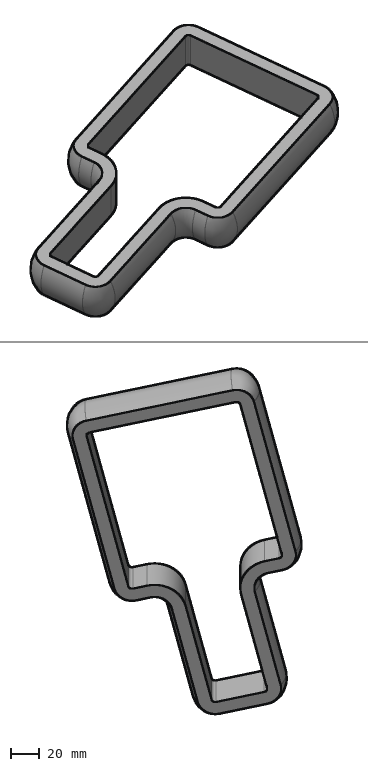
import cadquery as cq

total_length = 259.4
total_width = 137.7
height = 30.0
wall = 9.9
body_opening_width = 110.0
neck_opening_width = 39.7
shoulder_y = -13.5
corner_radius = 2.5
shoulder_radius = 22.3

bulge = (total_width - body_opening_width) / 2 - wall
opening_end_y = total_length / 2 - wall - bulge
body_half = body_opening_width / 2
neck_half = neck_opening_width / 2


def rounded_prism(growth):
    """Solid bottle shape: the opening's outline moved outward by growth."""
    body_x = body_half + growth
    neck_x = neck_half + growth
    end_y = opening_end_y + growth
    step_y = shoulder_y - growth
    sharp = (
        cq.Workplane("XY", origin=(0, 0, -height / 2))
        .polyline([
            (body_x, end_y),
            (body_x, step_y),
            (neck_x, step_y),
            (neck_x, -end_y),
            (-neck_x, -end_y),
            (-neck_x, step_y),
            (-body_x, step_y),
            (-body_x, end_y),
        ])
        .close()
        .extrude(height)
    )
    corners = sharp.edges("|Z").edges("<X or >X or <Y").fillet(corner_radius + growth)
    shoulders = [cq.selectors.NearestToPointSelector((side * neck_x, step_y, 0)) for side in (-1, 1)]
    return corners.edges(shoulders[0] + shoulders[1]).fillet(shoulder_radius - growth)


def bulged_band():
    """Band with a flat root and an arced outside, swept around the wall."""
    outside_x = body_half + wall
    root_x = body_half + wall / 2
    step_y = shoulder_y - wall
    end_y = opening_end_y + wall
    body_middle_y = (end_y + step_y) / 2
    neck_x = neck_half + wall
    corner = corner_radius + wall
    shoulder = shoulder_radius - wall

    path = (
        cq.Workplane("XY")
        .moveTo(outside_x, body_middle_y)
        .lineTo(outside_x, step_y + corner)
        .tangentArcPoint((-corner, -corner))
        .lineTo(neck_x + shoulder, step_y)
        .tangentArcPoint((-shoulder, -shoulder))
        .lineTo(neck_x, corner - end_y)
        .tangentArcPoint((-corner, -corner))
        .lineTo(corner - neck_x, -end_y)
        .tangentArcPoint((-corner, corner))
        .lineTo(-neck_x, step_y - shoulder)
        .tangentArcPoint((-shoulder, shoulder))
        .lineTo(corner - outside_x, step_y)
        .tangentArcPoint((-corner, corner))
        .lineTo(-outside_x, end_y - corner)
        .tangentArcPoint((corner, corner))
        .lineTo(outside_x - corner, end_y)
        .tangentArcPoint((corner, -corner))
        .close()
    )
    return (
        cq.Workplane("XZ", origin=(0, body_middle_y, 0))
        .moveTo(root_x, -height / 2)
        .lineTo(outside_x, -height / 2)
        .threePointArc((outside_x + bulge, 0), (outside_x, height / 2))
        .lineTo(root_x, height / 2)
        .close()
        .sweep(path)
    )


result = rounded_prism(wall).union(bulged_band()).cut(rounded_prism(0))